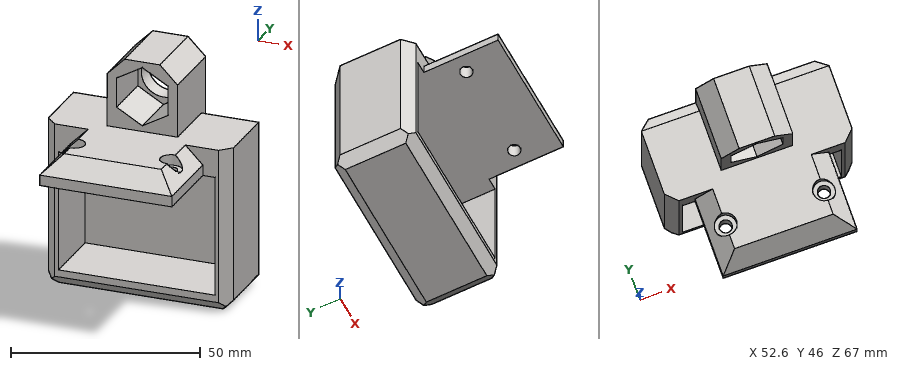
import cadquery as cq
import math

body_width = 52.6
body_depth = 24.0
body_height = 47.0
edge_chamfer = 3.0

rear_wall = 5.0

cavity_width = 44.4
cavity_floor = 5.0
plate_thickness = 8.0

total_depth = 46.0
plate_width = 37.5
plate_chamfer = 4.95

screw_spacing = 27.55
screw_from_front = 12.0
screw_diameter = 3.5
counterbore_diameter = 6.0
counterbore_depth = 3.0

total_height = 67.0
lug_width = 20.0
lug_depth = 20.0
lug_chamfer = 5.0
bore_diameter = 12.5
nut_across_flats = 14.55

cavity_depth = body_depth - rear_wall
nut_depth = lug_depth - rear_wall
bore_height = total_height - lug_width / 2
nut_across_corners = nut_across_flats / math.cos(math.pi / 6)


def block(width, depth, bottom, top, front_y):
    """Box centred on X, running back from front_y."""
    return (
        cq.Workplane("XY")
        .box(width, depth, top - bottom, centered=(True, False, False))
        .translate((0, front_y, bottom))
    )


def make_body():
    """Three chamfered prisms intersect, so the bevels meet in sharp corner points."""
    blank = block(body_width, body_depth, 0, body_height, -body_depth)
    upright_bevels = blank.edges("|Z").chamfer(edge_chamfer)
    side_bevels = blank.edges("|Y and <Z").chamfer(edge_chamfer)
    cross_bevels = blank.edges("|X and (<Z or >Y)").chamfer(edge_chamfer)
    return upright_bevels.intersect(side_bevels).intersect(cross_bevels)


def make_plate():
    """Plate with bevelled front and side edges, abutting the front of the housing."""
    plate = block(
        plate_width, total_depth - body_depth, body_height - plate_thickness, body_height, -total_depth
    )
    return plate.faces(">Z").edges("<Y or <X or >X").chamfer(plate_chamfer)


def make_lug():
    lug = block(lug_width, lug_depth, body_height - edge_chamfer, total_height, -lug_depth)
    return lug.edges("|Y and >Z").chamfer(lug_chamfer)


def make_cavity():
    cavity_top = body_height - plate_thickness
    return block(cavity_width, cavity_depth, cavity_floor, cavity_top, -body_depth)


def make_screw_holes():
    centres = [(side * screw_spacing / 2, screw_from_front - total_depth) for side in (-1, 1)]
    top = cq.Workplane("XY", origin=(0, 0, body_height)).pushPoints(centres)
    shafts = top.circle(screw_diameter / 2).extrude(-plate_thickness)
    counterbores = top.circle(counterbore_diameter / 2).extrude(-counterbore_depth)
    return shafts.union(counterbores)


def make_lug_bore():
    bore = cq.Workplane("XZ", origin=(0, 0, bore_height)).circle(bore_diameter / 2).extrude(lug_depth)
    nut_pocket = (
        cq.Workplane("XZ", origin=(0, -lug_depth, bore_height))
        .transformed(rotate=(0, 0, 90))
        .polygon(6, nut_across_corners)
        .extrude(-nut_depth)
    )
    return bore.union(nut_pocket)


result = (
    make_body()
    .union(make_plate())
    .union(make_lug())
    .cut(make_cavity())
    .cut(make_screw_holes())
    .cut(make_lug_bore())
)